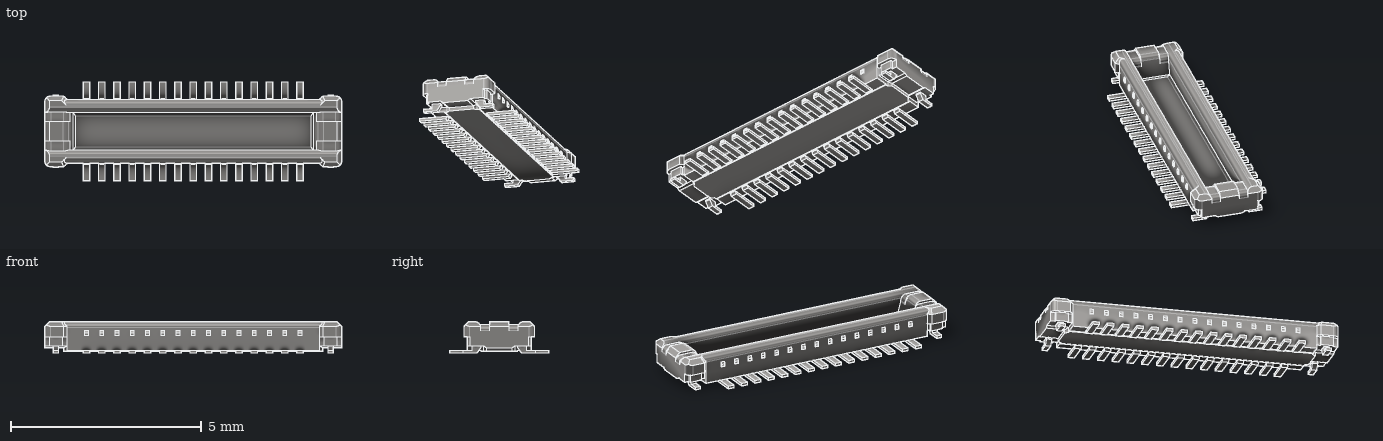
import cadquery as cq


length = 7.8
terminal_span = 2.6
height = 0.83
half_length = length / 2

rail_end = 3.31
rail_root = 3.45
rail_half_width = 0.84
rail_round = 0.15
rail_crest = 0.05
rail_bottom = 0.07

channel_half_width = rail_half_width - 2 * rail_round - rail_crest
floor_level = 0.23
floor_half_length = 3.09
floor_half_width = 0.41
bevel_half_length = 3.15
bevel_top = 0.25

cap_half_width = 0.93
cap_bottom = 0.43
cap_corner_radius = 0.155
cap_chamfer = 0.125
cap_buried_half_width = rail_half_width - rail_round

base_bottom = 0.19
base_half_width = 0.763
pillar_half_width = 0.83
pillar_outer = 3.77
pillar_inner = 3.43
ridge_bottom = 0.14
ridge_half_width = 0.335
ridge_root_half_width = 0.41

middle_half_width = 0.255
saddle_half_width = 0.51
wall_top_corner = 3.307
saddle_top = 0.76
saddle_round = 0.16
saddle_inner_face = 3.24

pad_bottom = 0.05
pad_half_width = 0.48
pad_nose = 3.4

terminal_count = 15
pitch = 0.4
terminal_width = 0.176
tab_width = 0.145
tab_center = 3.607
tab_half_span = 0.95
lead_thickness = 0.075
lead_riser_outer = 0.717
lead_riser_inner = 0.48
lead_heel = 0.585
lead_heel_rise = 0.15

bump_width = 0.1
bump_bottom = 0.46
bump_shoulder = 0.53
bump_top = 0.59
bump_reach = 0.025
bump_root = rail_half_width - rail_round


def box(x_min, x_max, half_width, z_min, z_max):
    """Block centred on Y."""
    return (
        cq.Workplane("XY", origin=((x_min + x_max) / 2, 0, z_min))
        .rect(x_max - x_min, 2 * half_width)
        .extrude(z_max - z_min)
    )


def both_ends(shape):
    return shape.union(shape.mirror("YZ"))


def both_sides(shape):
    return shape.union(shape.mirror("XZ"))


def make_rails():
    """Solid housing block with rounded long top edges, its upper part running on into the caps."""
    lower = box(-rail_end, rail_end, rail_half_width, rail_bottom, cap_bottom)
    upper = box(-rail_root, rail_root, rail_half_width, cap_bottom, height)
    return lower.union(upper.edges("|X and >Z").fillet(rail_round))


def make_cap():
    """Upper part of the -X end cap, chamfered all round its outer top edge."""
    diagonal_start = rail_end + cap_half_width - rail_half_width
    diagonal_end = diagonal_start - (cap_half_width - cap_buried_half_width)
    cap = (
        cq.Workplane("XY", origin=(0, 0, cap_bottom))
        .moveTo(-diagonal_end, -cap_buried_half_width)
        .lineTo(-diagonal_start, -cap_half_width)
        .lineTo(-half_length, -cap_half_width)
        .lineTo(-half_length, cap_half_width)
        .lineTo(-diagonal_start, cap_half_width)
        .lineTo(-diagonal_end, cap_buried_half_width)
        .close()
        .extrude(height - cap_bottom)
    )
    rounded = (
        box(-half_length, -diagonal_end, cap_half_width, cap_bottom, height)
        .edges("|Z and <X")
        .fillet(cap_corner_radius)
    )
    return cap.faces(">Z").edges("not >X").chamfer(cap_chamfer).intersect(rounded)


def make_cap_base():
    """Narrower stepped base below the -X end cap, with a tapered ridge underneath."""
    base = box(-half_length, -rail_end, base_half_width, base_bottom, cap_bottom)
    pillars = box(-pillar_outer, -pillar_inner, pillar_half_width, base_bottom, cap_bottom)
    ridge = (
        cq.Workplane("YZ", origin=(-half_length, 0, 0))
        .moveTo(-ridge_root_half_width, base_bottom)
        .lineTo(-ridge_half_width, ridge_bottom)
        .lineTo(ridge_half_width, ridge_bottom)
        .lineTo(ridge_root_half_width, base_bottom)
        .close()
        .extrude(half_length - rail_end)
    )
    return base.union(pillars).union(ridge)


def make_channel():
    """Cutter for the mating channel, with bevelled floor edges and rounded rail crests."""
    mouth_half_width = channel_half_width + rail_round
    round_start = height - rail_round
    return (
        cq.Workplane("YZ", origin=(-half_length, 0, 0))
        .moveTo(-floor_half_width, floor_level)
        .lineTo(floor_half_width, floor_level)
        .lineTo(channel_half_width, bevel_top)
        .lineTo(channel_half_width, round_start)
        .radiusArc((mouth_half_width, height), rail_round)
        .lineTo(-mouth_half_width, height)
        .radiusArc((-channel_half_width, round_start), rail_round)
        .lineTo(-channel_half_width, bevel_top)
        .close()
        .extrude(length)
    )


def close_end_wall(profile, width):
    """Finish an end wall outline down its sloping inner face, then extrude it toward -Y."""
    return (
        profile.lineTo(-bevel_half_length, bevel_top)
        .lineTo(-floor_half_length, floor_level)
        .lineTo(-floor_half_length, base_bottom)
        .lineTo(-half_length, base_bottom)
        .close()
        .extrude(width)
    )


def make_end_wall():
    """The -X end wall closing the channel."""
    middle_outline = (
        cq.Workplane("XZ", origin=(0, middle_half_width, 0))
        .moveTo(-half_length, height - cap_chamfer)
        .lineTo(-half_length + cap_chamfer, height)
        .lineTo(-wall_top_corner, height)
    )
    middle = close_end_wall(middle_outline, 2 * middle_half_width)
    middle = middle.faces(">Z").edges(">X").fillet(rail_round)

    saddle_shoulder = saddle_top - saddle_round
    slope = (wall_top_corner - bevel_half_length) / (height - bevel_top)
    slope_meeting = bevel_top + (saddle_inner_face - bevel_half_length) / slope
    saddle_outline = (
        cq.Workplane("XZ", origin=(0, -middle_half_width, 0))
        .moveTo(-half_length, saddle_shoulder)
        .radiusArc((-half_length + saddle_round, saddle_top), saddle_round)
        .lineTo(-saddle_inner_face - saddle_round, saddle_top)
        .radiusArc((-saddle_inner_face, saddle_shoulder), saddle_round)
        .lineTo(-saddle_inner_face, slope_meeting)
    )
    saddle = close_end_wall(saddle_outline, saddle_half_width - middle_half_width)
    return middle.union(both_sides(saddle))


def make_pad():
    """Shallow pad under the housing with a tapered nose at each end."""
    half_pad = (
        cq.Workplane("XY", origin=(0, 0, pad_bottom))
        .moveTo(0, -pad_half_width)
        .lineTo(-rail_end, -pad_half_width)
        .lineTo(-rail_end, -ridge_root_half_width)
        .lineTo(-pad_nose, -ridge_half_width)
        .lineTo(-pad_nose, ridge_half_width)
        .lineTo(-rail_end, ridge_root_half_width)
        .lineTo(-rail_end, pad_half_width)
        .lineTo(0, pad_half_width)
        .close()
        .extrude(base_bottom - pad_bottom)
    )
    return both_ends(half_pad)


def make_lead(x_center, width, reach):
    """Flat lead on the -Y side whose inner end rises into the housing."""
    return (
        cq.Workplane("YZ", origin=(x_center - width / 2, 0, 0))
        .moveTo(-reach, 0)
        .lineTo(-lead_heel, 0)
        .lineTo(-lead_riser_inner, lead_heel_rise)
        .lineTo(-lead_riser_inner, base_bottom)
        .lineTo(-lead_riser_outer, base_bottom)
        .lineTo(-lead_riser_outer, lead_thickness)
        .lineTo(-reach, lead_thickness)
        .close()
        .extrude(width)
    )


def make_bump(x_center):
    """Small contact bump with a sloping top on the -Y rail face."""
    return (
        cq.Workplane("YZ", origin=(x_center - bump_width / 2, 0, 0))
        .moveTo(-bump_root, bump_bottom)
        .lineTo(-rail_half_width - bump_reach, bump_bottom)
        .lineTo(-rail_half_width - bump_reach, bump_shoulder)
        .lineTo(-rail_half_width, bump_top)
        .lineTo(-bump_root, bump_top)
        .close()
        .extrude(bump_width)
    )


housing = make_rails().union(both_ends(make_cap()))
housing = housing.cut(make_channel())
housing = housing.union(both_ends(make_cap_base().union(make_end_wall())))
housing = housing.union(make_pad())

result = housing
for index in range(terminal_count):
    x_terminal = (index - (terminal_count - 1) / 2) * pitch
    terminal = make_lead(x_terminal, terminal_width, terminal_span / 2)
    result = result.union(both_sides(terminal)).union(both_sides(make_bump(x_terminal)))

for x_tab in (-tab_center, tab_center):
    tab = make_lead(x_tab, tab_width, tab_half_span)
    result = result.union(both_sides(tab))